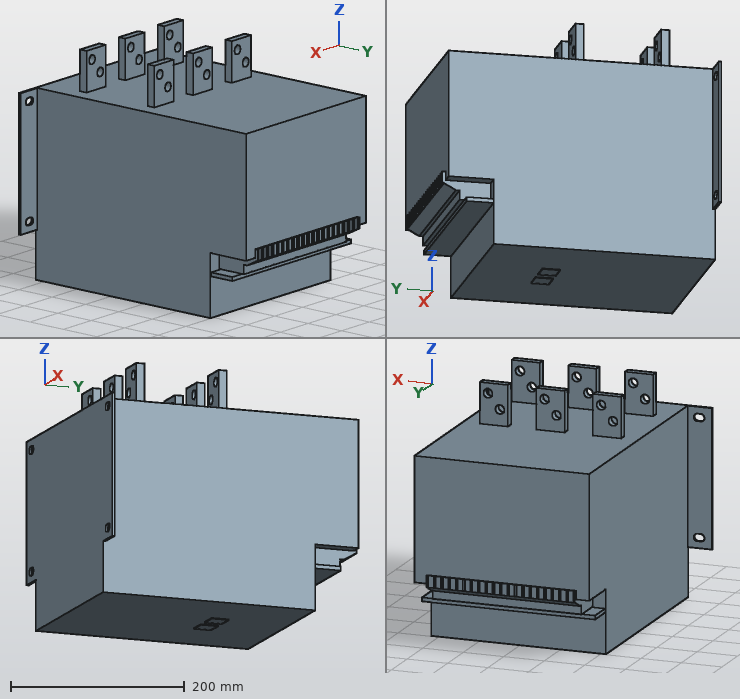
import cadquery as cq

BODY_WIDTH = 216.0
BODY_DEPTH = 315.2
BODY_HEIGHT = 229.5
NOTCH_DEPTH = 53.3
NOTCH_HEIGHT = 77.8
NOTCH_FACE = BODY_DEPTH - NOTCH_DEPTH

FLANGE_WIDTH = 276.0
FLANGE_HEIGHT = 169.0
FLANGE_THICKNESS = 3.0
SLOT_LENGTH = 13.0
SLOT_HEIGHT = 9.0
SLOT_SPACING = 244.5
SLOT_EDGE_INSET = 12.8

BAR_WIDTH = 34.8
BAR_THICKNESS = 10.0
BAR_HEIGHT = 49.8
BAR_PITCH = 70.0
BAR_ROW_FACES = (49.0, 150.5)
BAR_HOLE_DIAMETER = 11.0
BAR_HOLE_OFFSET = 7.3
UPPER_HOLE_DROP = 12.5
LOWER_HOLE_DROP = 30.3

BLOCK_POLES = 20
BLOCK_WIDTH = 183.7
DIVIDER_THICKNESS = 2.0
POLE_PITCH = (BLOCK_WIDTH - DIVIDER_THICKNESS) / BLOCK_POLES
BLOCK_REAR = 319.0
BLOCK_TOP = 88.5
BLOCK_BOTTOM = 55.5
LIP_BOTTOM = 75.3
CHAMFER_BOTTOM = 66.7
CHAMFER_END = 303.0
BLOCK_STEP = 298.5
POCKET_DEPTH = 2.0

SHELF_WIDTH = 213.7
SHELF_LENGTH = 32.0
SHELF_BOTTOM = 49.8
SHELF_GAP = 1.0

FOOT_WIDTH = 22.5
FOOT_DEPTH = 21.0
FOOT_HEIGHT = 1.0
FOOT_SPACING = 34.5
FOOT_Y = 175.0


def box(width, y_start, y_end, z_start, z_end, x_center=0):
    """Box centred on x_center, spanning the given y and z ranges."""
    size = (width, y_end - y_start, z_end - z_start)
    corner = (x_center - width / 2, y_start, z_start)
    return cq.Workplane("XY").box(*size, centered=False).translate(corner)


def make_housing():
    housing = box(BODY_WIDTH, 0, BODY_DEPTH, 0, BODY_HEIGHT)
    return housing.cut(box(BODY_WIDTH, NOTCH_FACE, BODY_DEPTH, 0, NOTCH_HEIGHT))


def make_flange():
    flange_bottom = BODY_HEIGHT - FLANGE_HEIGHT
    flange = box(FLANGE_WIDTH, 0, FLANGE_THICKNESS, flange_bottom, BODY_HEIGHT)
    slots = (
        cq.Workplane("XZ")
        .center(0, flange_bottom + FLANGE_HEIGHT / 2)
        .rarray(SLOT_SPACING, FLANGE_HEIGHT - 2 * SLOT_EDGE_INSET, 2, 2)
        .slot2D(SLOT_LENGTH, SLOT_HEIGHT)
        .extrude(-FLANGE_THICKNESS)
    )
    return flange.cut(slots)


def make_busbar(x_center, front_face):
    bar_top = BODY_HEIGHT + BAR_HEIGHT
    bar = box(BAR_WIDTH, front_face, front_face + BAR_THICKNESS, BODY_HEIGHT, bar_top, x_center)
    hole_centers = [
        (x_center + BAR_HOLE_OFFSET, bar_top - UPPER_HOLE_DROP),
        (x_center - BAR_HOLE_OFFSET, bar_top - LOWER_HOLE_DROP),
    ]
    holes = (
        cq.Workplane("XZ", origin=(0, front_face, 0))
        .pushPoints(hole_centers)
        .circle(BAR_HOLE_DIAMETER / 2)
        .extrude(-BAR_THICKNESS)
    )
    return bar.cut(holes)


def make_terminal_block():
    """Stepped block whose rear face is divided into poles by thin walls."""
    profile = [
        (NOTCH_FACE, BLOCK_BOTTOM),
        (BLOCK_STEP, BLOCK_BOTTOM),
        (BLOCK_STEP, CHAMFER_BOTTOM),
        (CHAMFER_END, CHAMFER_BOTTOM),
        (BLOCK_REAR, LIP_BOTTOM),
        (BLOCK_REAR, BLOCK_TOP),
        (BODY_DEPTH, BLOCK_TOP),
        (BODY_DEPTH, NOTCH_HEIGHT),
        (NOTCH_FACE, NOTCH_HEIGHT),
    ]
    block = (
        cq.Workplane("YZ", origin=(-BLOCK_WIDTH / 2, 0, 0))
        .polyline(profile)
        .close()
        .extrude(BLOCK_WIDTH)
    )
    pockets = (
        cq.Workplane("XY")
        .rarray(POLE_PITCH, 3.2, BLOCK_POLES, 1)
        .box(POLE_PITCH - DIVIDER_THICKNESS, POCKET_DEPTH, BLOCK_TOP - CHAMFER_BOTTOM,
             centered=(True, False, False))
        .translate((0, BLOCK_REAR - POCKET_DEPTH, CHAMFER_BOTTOM))
    )
    return block.cut(pockets)


def make_shelf():
    shelf_top = BLOCK_BOTTOM - SHELF_GAP
    return box(SHELF_WIDTH, NOTCH_FACE, NOTCH_FACE + SHELF_LENGTH, SHELF_BOTTOM, shelf_top)


def make_feet():
    return (
        cq.Workplane("XY")
        .center(0, FOOT_Y)
        .rarray(FOOT_SPACING, 3.2, 2, 1)
        .rect(FOOT_WIDTH, FOOT_DEPTH)
        .extrude(-FOOT_HEIGHT)
    )


result = make_housing().union(make_flange())
for row_face in BAR_ROW_FACES:
    for column in (-1, 0, 1):
        result = result.union(make_busbar(column * BAR_PITCH, row_face))
result = result.union(make_terminal_block()).union(make_shelf()).union(make_feet())